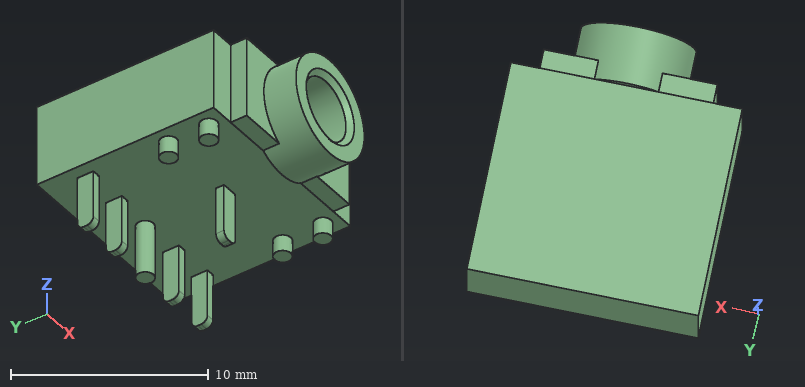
import cadquery as cq


block_width = 12.0
block_depth = 11.0
block_height = 5.0

plate_width = 9.0
plate_thickness = 1.0
sleeve_diameter = 6.0
sleeve_length = 3.0
sleeve_axis_height = block_height / 2
bore_diameter = 3.6
bore_chamfer = 0.3

post_diameter = 1.0
post_length = 1.0
post_side_offset = 5.0
post_setbacks = (1.0, 3.5)

pin_width = 1.0
pin_thickness = 0.5
pin_length = 3.3
pin_tip_radius = 0.4
rear_pin_positions = (-5.0, -2.5, 2.5, 5.0)
rear_pin_setback = block_depth - 2.5
centre_pin_setback = 3.5

round_pin_diameter = 1.0


def make_round_peg(x, y, diameter, length):
    """Round peg hanging from the underside of the block."""
    return cq.Workplane("XY").center(x, y).circle(diameter / 2).extrude(-length)


def make_pin(x, y, size_x, size_y, thickness_axis):
    """Flat pin hanging from the underside, with its two tip corners rounded."""
    return (
        cq.Workplane("XY")
        .center(x, y)
        .rect(size_x, size_y)
        .extrude(-pin_length)
        .faces("<Z")
        .edges("|" + thickness_axis)
        .fillet(pin_tip_radius)
    )


def make_housing():
    """Block together with its locating posts and contact pins."""
    housing = cq.Workplane("XY").box(
        block_width, block_depth, block_height, centered=(True, False, False)
    )
    for y in post_setbacks:
        for x in (-post_side_offset, post_side_offset):
            housing = housing.union(make_round_peg(x, y, post_diameter, post_length))
    for x in rear_pin_positions:
        housing = housing.union(make_pin(x, rear_pin_setback, pin_thickness, pin_width, "X"))
    housing = housing.union(make_round_peg(0, rear_pin_setback, round_pin_diameter, pin_length))
    return housing.union(make_pin(0, centre_pin_setback, pin_width, pin_thickness, "Y"))


def make_nozzle():
    """Front plate and sleeve, bored through to the block with a chamfered mouth."""
    plate = (
        cq.Workplane("XY")
        .box(plate_width, plate_thickness, block_height, centered=(True, False, False))
        .translate((0, -plate_thickness, 0))
    )
    front_plane = cq.Workplane("XZ").center(0, sleeve_axis_height)
    sleeve = front_plane.circle(sleeve_diameter / 2).extrude(sleeve_length)
    bore = front_plane.circle(bore_diameter / 2).extrude(sleeve_length)
    mouth_edge = cq.selectors.RadiusNthSelector(0)
    return (
        plate.union(sleeve)
        .cut(bore)
        .faces("<Y")
        .edges(mouth_edge)
        .chamfer(bore_chamfer)
    )


housing = make_housing()
nozzle = make_nozzle()
result = cq.Compound.makeCompound([housing.val(), nozzle.val()])